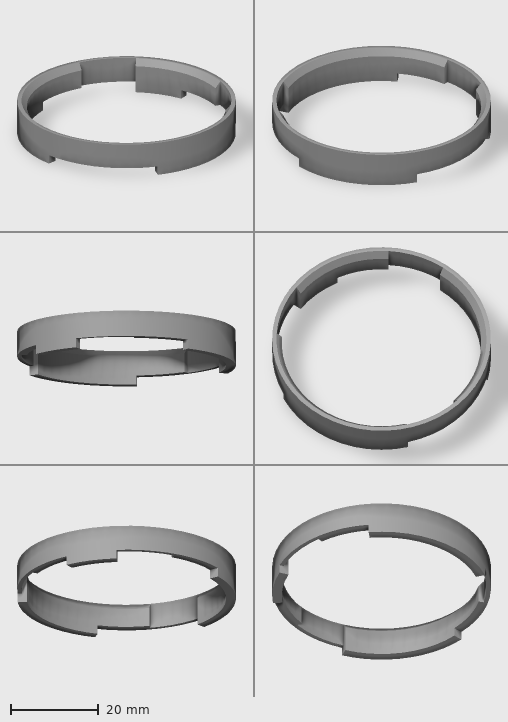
import cadquery as cq

OUTER_RADIUS = 25.0
WALL_THICKNESS = 1.0
HEIGHT = 8.0
BORE_RADIUS = OUTER_RADIUS - WALL_THICKNESS

PAD_THICKNESS = 1.2
PAD_RADIUS = BORE_RADIUS - PAD_THICKNESS
LEAD_IN_HEIGHT = 1.5

FOOT_HEIGHT = 2.1

FIRST_PAD_START = -55.0
PAD_GAP = 32.0
OVERHANG = 30.0
FOOT_SWEEPS = [68.0, 28.0, 78.0]

CLEARANCE = 0.5


def revolved(outline, start=0.0, sweep=360.0):
    """Revolve a (radius, z) outline about Z, counterclockwise from the start angle."""
    axis_start = (0, 0)
    axis_end = (0, 1)
    solid = cq.Workplane("XZ").polyline(outline).close().revolve(sweep, axis_start, axis_end)
    return solid.rotate((0, 0, 0), (0, 0, 1), start)


def thick_ring():
    """Full ring as thick as wall and pad together, with the lead-in cone at the top."""
    return revolved([
        (PAD_RADIUS, 0),
        (OUTER_RADIUS, 0),
        (OUTER_RADIUS, HEIGHT),
        (BORE_RADIUS, HEIGHT),
        (PAD_RADIUS, HEIGHT - LEAD_IN_HEIGHT),
    ])


def sector(outer_radius, top, start, sweep):
    """Cutting body from inside the pads out to outer_radius, and from below up to top."""
    inner_radius = PAD_RADIUS - CLEARANCE
    outline = [
        (inner_radius, -CLEARANCE),
        (outer_radius, -CLEARANCE),
        (outer_radius, top),
        (inner_radius, top),
    ]
    return revolved(outline, start, sweep)


result = thick_ring()
gap_start = FIRST_PAD_START - PAD_GAP
for foot_sweep in FOOT_SWEEPS:
    result = result.cut(sector(BORE_RADIUS, HEIGHT + CLEARANCE, gap_start, PAD_GAP))
    opening_sweep = PAD_GAP + OVERHANG
    result = result.cut(sector(OUTER_RADIUS + CLEARANCE, FOOT_HEIGHT, gap_start, opening_sweep))
    gap_start += opening_sweep + foot_sweep